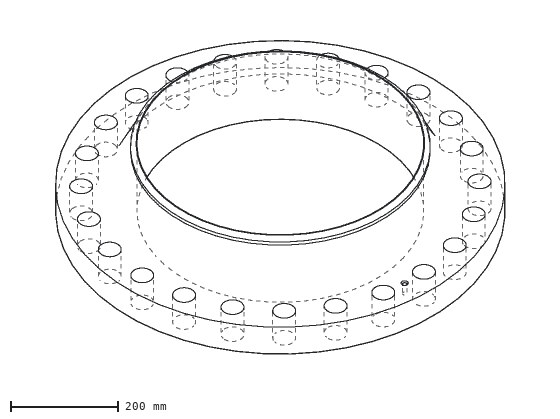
import cadquery as cq

flange_diameter = 838.0
flange_thickness = 65.0
bore_diameter = 535.0

overall_height = 163.0
hub_base_diameter = 641.0
hub_base_fillet = 3.0
neck_diameter = 559.0
neck_straight_length = 7.5
bevel_height = 7.5
lip_width = 2.0

bolt_count = 24
bolt_circle_diameter = 742.5
bolt_hole_diameter = 43.0

small_hole_diameter = 8.0
small_hole_depth = 25.0
small_hole_angle = 360 / bolt_count / 2
countersink_diameter = 13.0
countersink_depth = (countersink_diameter - small_hole_diameter) / 2


def flange_body():
    """Revolve the half section of the ring and its tapered neck about Z."""
    bore_radius = bore_diameter / 2
    flange_radius = flange_diameter / 2
    neck_radius = neck_diameter / 2
    bevel_start = overall_height - bevel_height
    taper_end = bevel_start - neck_straight_length
    body = (
        cq.Workplane("XZ")
        .moveTo(bore_radius, 0)
        .lineTo(flange_radius, 0)
        .lineTo(flange_radius, flange_thickness)
        .lineTo(hub_base_diameter / 2, flange_thickness)
        .lineTo(neck_radius, taper_end)
        .lineTo(neck_radius, bevel_start)
        .lineTo(bore_radius + lip_width, overall_height)
        .lineTo(bore_radius, overall_height)
        .close()
        .revolve(360, (0, 0, 0), (0, 1, 0))
    )
    hub_foot_rank = 3
    hub_foot = cq.selectors.RadiusNthSelector(hub_foot_rank)
    return body.edges(hub_foot).fillet(hub_base_fillet)


def bolt_holes():
    """Through holes evenly spaced on the bolt circle."""
    return (
        cq.Workplane("XY")
        .polarArray(bolt_circle_diameter / 2, 0, 360, bolt_count)
        .circle(bolt_hole_diameter / 2)
        .extrude(flange_thickness)
    )


def drill_small_hole(body):
    """Blind hole with a 45 degree countersink, on the bolt circle."""
    drill_radius = small_hole_diameter / 2
    cutter = (
        cq.Workplane("XZ")
        .lineTo(countersink_diameter / 2, 0)
        .lineTo(drill_radius, -countersink_depth)
        .lineTo(drill_radius, -small_hole_depth)
        .lineTo(0, -small_hole_depth)
        .close()
        .revolve(360, (0, 0, 0), (0, 1, 0))
        .translate((bolt_circle_diameter / 2, 0, flange_thickness))
        .rotate((0, 0, 0), (0, 0, 1), small_hole_angle)
    )
    return body.cut(cutter)


result = drill_small_hole(flange_body().cut(bolt_holes()))